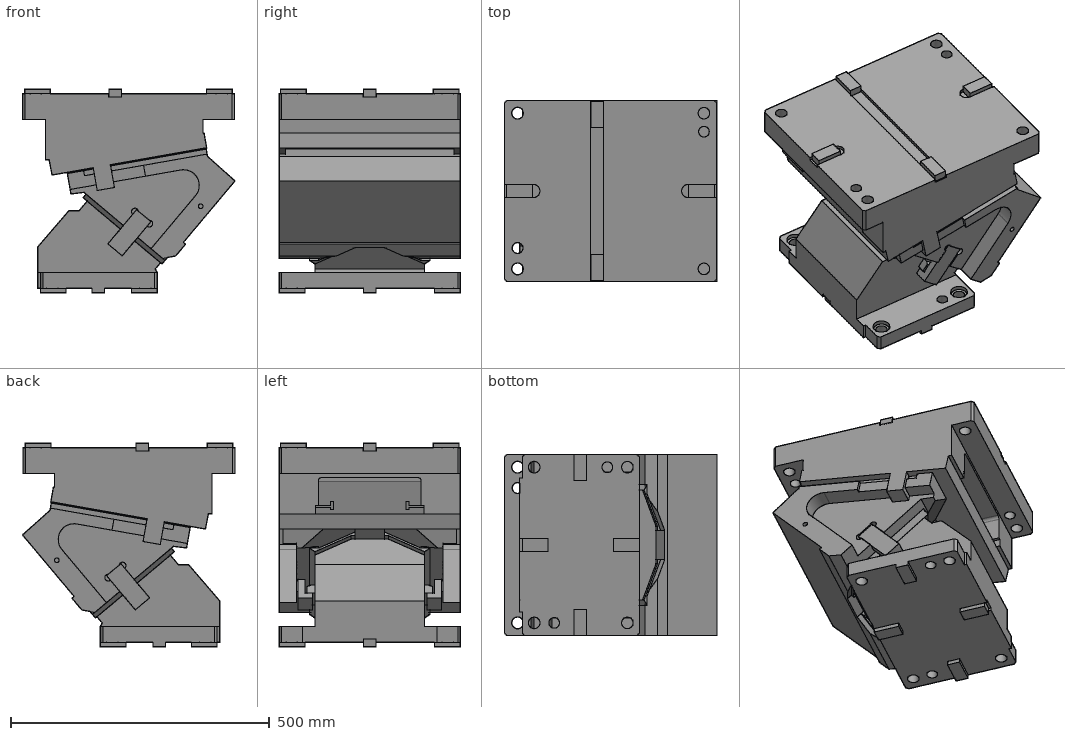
import cadquery as cq
import math


WIDTH = 350.0
HALF = WIDTH / 2
HEIGHT = 393.0
CORNER = 5.0
KEY_LENGTH = 50.0
KEY_WIDTH = 24.5
KEY_RISE = 8.5
SCREW_DIA = 22.0
DOWEL_DIA = 20.5
HOLE_Y = 150.5
FAR = 123.2

RAMP_ANGLE = 40
RAMP_X, RAMP_Z = -80.5, 177.0
DRIVE_ANGLE = 10
DRIVE_X, DRIVE_Z = -148.3, 227.0

RAMP_COS = math.cos(math.radians(RAMP_ANGLE))
RAMP_SIN = math.sin(math.radians(RAMP_ANGLE))
DRIVE_COS = math.cos(math.radians(DRIVE_ANGLE))
DRIVE_SIN = math.sin(math.radians(DRIVE_ANGLE))


def ramp_point(t, h):
    """(x, z) of a point given in the ramp frame."""
    return (RAMP_X + t * RAMP_COS + h * RAMP_SIN, RAMP_Z - t * RAMP_SIN + h * RAMP_COS)


def drive_point(a, m):
    """(x, z) of a point given in the drive frame."""
    return (DRIVE_X + a * DRIVE_COS - m * DRIVE_SIN, DRIVE_Z + a * DRIVE_SIN + m * DRIVE_COS)


def ramp_point_at_level(t, m):
    """Where the line across the ramp at t meets the level m of the drive frame."""
    x, z = ramp_point(t, 0)
    level_on_ramp = (z - DRIVE_Z) * DRIVE_COS - (x - DRIVE_X) * DRIVE_SIN
    h = (m - level_on_ramp) / math.sin(math.radians(90 - RAMP_ANGLE - DRIVE_ANGLE))
    return ramp_point(t, h)


def box(x_range, y_range, z_range):
    """Box between two limits on each axis."""
    spans = [high - low for low, high in (x_range, y_range, z_range)]
    return cq.Workplane().box(*spans, centered=False).translate((x_range[0], y_range[0], z_range[0]))


def side_profile(points, half_width):
    """Outline in the XZ plane, extruded to both sides of Y = 0."""
    return cq.Workplane("XZ").polyline(points).close().extrude(half_width, both=True)


def side_layer(points, y_inner, y_outer):
    """Outline in the XZ plane, extruded between two distances from Y = 0, on both sides."""
    near = cq.Workplane("XZ", origin=(0, -y_inner, 0)).polyline(points).close().extrude(y_outer - y_inner)
    return near.union(near.mirror("XZ"))


def ramp_section(points, t_start, t_end):
    """Outline in (y, h), extruded along the ramp."""
    x, z = ramp_point(t_start, 0)
    plane = cq.Plane(origin=(x, 0, z), xDir=(0, 1, 0), normal=(RAMP_COS, 0, -RAMP_SIN))
    return cq.Workplane(plane).polyline(points).close().extrude(t_end - t_start)


def ramp_section_pair(points, t_start, t_end):
    """Ramp section together with its mirror image across Y = 0."""
    one_side = ramp_section(points, t_start, t_end)
    return one_side.union(one_side.mirror("XZ"))


def frame_rectangle(to_point, along_range, rise_range):
    """Corners of a rectangle in the frame that `to_point` belongs to."""
    start, end = along_range
    low, high = rise_range
    return [to_point(start, low), to_point(end, low), to_point(end, high), to_point(start, high)]


def ramp_rectangle(t_range, h_range):
    return frame_rectangle(ramp_point, t_range, h_range)


def drive_rectangle(a_range, m_range):
    return frame_rectangle(drive_point, a_range, m_range)


def upright_hole(x, y, diameter, z_bottom, z_top):
    return cq.Workplane(origin=(x, y, z_bottom)).circle(diameter / 2).extrude(z_top - z_bottom)


PLATE_LEFT, PLATE_RIGHT = -205.5, 204.5
PLATE_TOP = HEIGHT - KEY_RISE
PLATE_BOTTOM = 334.5
BLOCK_LEFT, BLOCK_RIGHT = -161.0, 143.5
LEDGE_Z = 256.7
LEDGE_X = -154.0
DRIVE_LENGTH = 303.5
END_FACE_RISE = 28.8
TAB_A = (81.0, 114.5)
TAB_DROP = 44.5
CHEEK_Y = 141.5
SLOT_DEPTH = 6.0
SLOT_WIDTH = 25.5
CROSS_X = -26.3
POCKET_HALF, POCKET_FOOT_HALF = 99.5, 104.7
POCKET_TOP, POCKET_FOOT_TOP = 326.5, 273.0
POCKET_BREAK = 319.5
POCKET_BACK = -107.0
POCKET_RADIUS = 5.8
GROOVE_DEPTH = 4.0
LEVEL_GROOVE_Z = (268.5, POCKET_FOOT_TOP)
UPRIGHT_GROOVE_Y = (70.2, 75.5)
UPRIGHT_GROOVE_Z = (265.5, 281.0)
DRIVER_HOLE_X = 180.0
DRIVER_DOWEL_Y = (-110.0, 114.5)
LONG_KEY_X = (-201.3, 150.0)
LONG_SLOT_END = 136.8


def make_driver():
    plate = box((PLATE_LEFT, PLATE_RIGHT), (-HALF, HALF), (PLATE_BOTTOM, PLATE_TOP))
    plate = plate.edges("|Z").chamfer(CORNER)
    end_top = drive_point(DRIVE_LENGTH, END_FACE_RISE)
    block = side_profile(
        [
            (BLOCK_LEFT, PLATE_BOTTOM),
            (BLOCK_LEFT, LEDGE_Z),
            (LEDGE_X, LEDGE_Z),
            drive_point(0, 0),
            drive_point(DRIVE_LENGTH, 0),
            end_top,
            (BLOCK_RIGHT, end_top[1]),
            (BLOCK_RIGHT, PLATE_BOTTOM),
        ],
        HALF,
    )
    tabs = side_layer(drive_rectangle(TAB_A, (-TAB_DROP, SLOT_DEPTH)), CHEEK_Y, HALF)
    driver = plate.union(block).union(tabs)
    driver = driver.cut(end_pocket()).cut(key_slots()).union(driver_keys())
    for x in (-DRIVER_HOLE_X, DRIVER_HOLE_X):
        for y in (-HOLE_Y, HOLE_Y):
            driver = driver.cut(upright_hole(x, y, SCREW_DIA, PLATE_BOTTOM, HEIGHT))
    for x, y in zip((-DRIVER_HOLE_X, DRIVER_HOLE_X), DRIVER_DOWEL_Y):
        driver = driver.cut(upright_hole(x, y, DOWEL_DIA, PLATE_BOTTOM, HEIGHT))
    return driver


def pocket_back_x(z):
    """Position of the leaning back wall of the pocket at a given level."""
    return POCKET_BACK + (POCKET_BREAK - z) * DRIVE_SIN / DRIVE_COS


def end_pocket():
    """Pocket in the -X face whose back wall leans with the drive direction and whose foot is wider."""
    open_x = BLOCK_LEFT - FAR
    pocket = side_profile(
        [
            (open_x, LEDGE_Z),
            (pocket_back_x(LEDGE_Z), LEDGE_Z),
            (POCKET_BACK, POCKET_BREAK),
            (POCKET_BACK, POCKET_TOP),
            (open_x, POCKET_TOP),
        ],
        POCKET_HALF,
    )
    pocket = pocket.edges("|X and >Z").fillet(POCKET_RADIUS)
    foot = side_profile(
        [
            (open_x, LEDGE_Z),
            (pocket_back_x(LEDGE_Z), LEDGE_Z),
            (pocket_back_x(POCKET_FOOT_TOP), POCKET_FOOT_TOP),
            (open_x, POCKET_FOOT_TOP),
        ],
        POCKET_FOOT_HALF,
    )
    level_groove = back_groove(LEVEL_GROOVE_Z, (UPRIGHT_GROOVE_Y[1], POCKET_FOOT_HALF))
    upright_groove = back_groove(UPRIGHT_GROOVE_Z, UPRIGHT_GROOVE_Y)
    return pocket.union(foot).union(level_groove).union(upright_groove)


def back_groove(z_range, y_range):
    """Groove sunk into the leaning back wall of the pocket, on both sides of Y = 0."""
    low, high = z_range
    outline = [
        (POCKET_BACK, low),
        (pocket_back_x(low) + GROOVE_DEPTH, low),
        (pocket_back_x(high) + GROOVE_DEPTH, high),
        (POCKET_BACK, high),
    ]
    return side_layer(outline, *y_range)


def key_slots():
    """One slot across the whole plate and two lengthwise slots, each with one round end."""
    floor = PLATE_TOP - SLOT_DEPTH
    slots = box((CROSS_X - SLOT_WIDTH / 2, CROSS_X + SLOT_WIDTH / 2), (-HALF, HALF), (floor, HEIGHT))
    for side in (-1, 1):
        centre = side * (LONG_SLOT_END + SLOT_WIDTH / 2)
        outer = side * (LONG_SLOT_END + FAR)
        straight = box(sorted((centre, outer)), (-SLOT_WIDTH / 2, SLOT_WIDTH / 2), (floor, HEIGHT))
        slots = slots.union(straight).union(upright_hole(centre, 0, SLOT_WIDTH, floor, HEIGHT))
    return slots


def driver_keys():
    floor = PLATE_TOP - SLOT_DEPTH
    key_y = HALF - CORNER / 2
    across_x = (CROSS_X - KEY_WIDTH / 2, CROSS_X + KEY_WIDTH / 2)
    across = box(across_x, (key_y - KEY_LENGTH, key_y), (floor, HEIGHT))
    keys = across.union(across.mirror("XZ"))
    for x in LONG_KEY_X:
        keys = keys.union(box((x, x + KEY_LENGTH), (-KEY_WIDTH / 2, KEY_WIDTH / 2), (floor, HEIGHT)))
    return keys


BASE_LEFT = -176.0
FLANGE_LEFT, FLANGE_RIGHT = -171.0, 55.0
FLANGE_BOTTOM = KEY_RISE
FLANGE_TOP = 39.5
BASE_HALF = 106.0
BASE_FOOT_HALF = 130.0
BASE_TOP = 158.5
BASE_CREST_X = -116.0
BASE_SHOULDER = 88.7
RAMP_LENGTH = 185.3
RAMP_END_DROP = 15.5
ROOF_FLAT = 36.0
ROOF_SLOPE = math.tan(math.radians(30))
ROOF_RISE = (BASE_HALF - ROOF_FLAT) * ROOF_SLOPE
BASE_MID = (FLANGE_LEFT + FLANGE_RIGHT) / 2
BASE_CROSS_X = -59.0
BASE_HOLE_PITCH = 180.0
BASE_DOWEL_STEP = 38.5
CBORE_DIA = 32.0
CBORE_DEPTH = 8.2

KEEPER_T = (84.0, 120.0)
LUG_Y = 121.0
LUG_H = (-25.0, -5.5)
LUG_CHAMFER = 3.3


def make_base():
    flange = box((FLANGE_LEFT, FLANGE_RIGHT), (-HALF, HALF), (FLANGE_BOTTOM, FLANGE_TOP))
    flange = flange.edges("|Z").chamfer(CORNER)
    foot = box((BASE_LEFT, BASE_MID), (-BASE_FOOT_HALF, BASE_FOOT_HALF), (FLANGE_BOTTOM, FLANGE_TOP))
    body = side_profile(
        [
            (BASE_LEFT, FLANGE_BOTTOM),
            (BASE_LEFT, BASE_SHOULDER),
            (BASE_CREST_X, BASE_TOP),
            ramp_point(0, (BASE_TOP - RAMP_Z) / RAMP_COS),
            ramp_point(0, 0),
            ramp_point(RAMP_LENGTH, 0),
            ramp_point(RAMP_LENGTH, -RAMP_END_DROP),
            (FLANGE_RIGHT, FLANGE_TOP),
            (FLANGE_RIGHT, FLANGE_BOTTOM),
        ],
        BASE_HALF,
    )
    roof = ramp_section(
        [(-BASE_HALF, 0), (-ROOF_FLAT, ROOF_RISE), (ROOF_FLAT, ROOF_RISE), (BASE_HALF, 0)],
        0, RAMP_LENGTH,
    )
    lugs = ramp_section_pair(
        [
            (BASE_HALF, LUG_H[0]),
            (LUG_Y, LUG_H[0]),
            (LUG_Y, LUG_H[1] - LUG_CHAMFER),
            (LUG_Y - 2 * LUG_CHAMFER, LUG_H[1]),
            (BASE_HALF, LUG_H[1]),
        ],
        *KEEPER_T,
    )
    base = flange.union(foot).union(body).union(roof).union(lugs).union(base_keys())
    return base.cut(base_holes()).cut(foot_slot())


def base_keys():
    across_x = (BASE_CROSS_X - KEY_WIDTH / 2, BASE_CROSS_X + KEY_WIDTH / 2)
    across = box(across_x, (HALF - KEY_LENGTH, HALF), (0, FLANGE_BOTTOM))
    keys = across.union(across.mirror("XZ"))
    for x in (FLANGE_LEFT, FLANGE_RIGHT - KEY_LENGTH):
        keys = keys.union(box((x, x + KEY_LENGTH), (-KEY_WIDTH / 2, KEY_WIDTH / 2), (0, FLANGE_BOTTOM)))
    return keys


def foot_slot():
    """Open end of the key slot, between the -X face of the foot and the key."""
    return box(
        (BASE_LEFT, FLANGE_LEFT), (-KEY_WIDTH / 2, KEY_WIDTH / 2), (FLANGE_BOTTOM, FLANGE_BOTTOM + SLOT_DEPTH)
    )


def base_holes():
    """Counterbored screw holes at the corners and two dowel holes on a diagonal."""
    holes = cq.Workplane()
    for side in (-1, 1):
        x = BASE_MID + side * BASE_HOLE_PITCH / 2
        for y in (-HOLE_Y, HOLE_Y):
            holes = holes.add(upright_hole(x, y, SCREW_DIA, 0, FLANGE_TOP))
            holes = holes.add(upright_hole(x, y, CBORE_DIA, FLANGE_TOP - CBORE_DEPTH, FLANGE_TOP))
        dowel_x = x - side * BASE_DOWEL_STEP
        holes = holes.add(upright_hole(dowel_x, -side * HOLE_Y, DOWEL_DIA, 0, FLANGE_TOP))
    return holes.combine()


GAP = 1.5
SLIDER_A = (29.5, 302.5)
SLIDER_NOSE = -42.5
SLIDER_BACK_T = 194.0
SLIDER_TIP_H = 213.5
SLIDER_SHOULDER = -16.5
HEEL_T = 199.2
HEEL_H = (28.8, 58.7)
UNDERSIDE_H = 9.0
UNDERSIDE_T = (-15.0, 183.2)
WEAR_THICKNESS = 5.0
WEAR_T = (-10.3, 189.0)
WEAR_INNER = 28.5
LIP_OUTER = 116.5
SLAB_Y = 167.5
SLAB_BOTTOM = -33.3
BAND_Y = 162.3
BAND_BOTTOM = -12.0
BAND_START = 61.5
CHEEK_A = 177.5
CHEEK_T = 153.5
CHEEK_RADIUS = 30.5
KEEPER_Y = (125.0, 139.0)
KEEPER_FOOT_Y = 111.0
KEEPER_H = (-37.5, 49.0)
RELIEF_RADIUS = 6.5
RELIEF_DROP = 5.0
PIN_HOLE_X, PIN_HOLE_Z = 139.0, 167.0
PIN_HOLE_DIA = 9.0
PIN_HOLE_DEPTH = 12.5


def slider_outline(top):
    """Side outline of the slider up to a level of the drive frame."""
    return [
        drive_point(SLIDER_A[0], top),
        drive_point(SLIDER_A[0], SLIDER_NOSE),
        ramp_point(UNDERSIDE_T[0], UNDERSIDE_H),
        ramp_point(UNDERSIDE_T[1], UNDERSIDE_H),
        ramp_point(HEEL_T, HEEL_H[0]),
        ramp_point(HEEL_T, HEEL_H[1]),
        ramp_point(SLIDER_BACK_T, HEEL_H[1]),
        ramp_point(SLIDER_BACK_T, SLIDER_TIP_H),
        drive_point(SLIDER_A[1], SLIDER_SHOULDER),
        drive_point(SLIDER_A[1], top),
    ]


def make_slider():
    core = side_profile(slider_outline(-GAP), CHEEK_Y)
    slider = core.union(drive_slab()).cut(tunnel())
    slider = slider.union(wear_plates()).union(cheeks())
    slider = slider.cut(keeper_pockets()).union(keepers())
    pin_hole = cq.Workplane("XZ", origin=(PIN_HOLE_X, -HALF + PIN_HOLE_DEPTH, PIN_HOLE_Z))
    pin_hole = pin_hole.circle(PIN_HOLE_DIA / 2).extrude(PIN_HOLE_DEPTH)
    return slider.cut(pin_hole).cut(pin_hole.mirror("XZ"))


def tunnel():
    """Roof-shaped channel through the underside, clear of the base roof by the wear plates."""
    eave_h = -FAR
    eave_y = BASE_HALF + (WEAR_THICKNESS - eave_h) / ROOF_SLOPE
    ridge_h = WEAR_THICKNESS + (BASE_HALF - WEAR_INNER) * ROOF_SLOPE
    section = [(-eave_y, eave_h), (-WEAR_INNER, ridge_h), (WEAR_INNER, ridge_h), (eave_y, eave_h)]
    return ramp_section(section, -FAR, RAMP_LENGTH + FAR)


def wear_plates():
    """Plates lying on the base roof, each with a bevelled lip outside the eave."""
    section = [
        (BASE_HALF, 0),
        (LIP_OUTER, UNDERSIDE_H),
        (BASE_HALF + (WEAR_THICKNESS - UNDERSIDE_H) / ROOF_SLOPE, UNDERSIDE_H),
        (WEAR_INNER, WEAR_THICKNESS + (BASE_HALF - WEAR_INNER) * ROOF_SLOPE),
        (WEAR_INNER, ROOF_RISE),
        (ROOF_FLAT, ROOF_RISE),
    ]
    return ramp_section_pair(section, *WEAR_T)


def drive_slab():
    """Wide slab under the driver, grooved along its top edges and notched for the driver tabs."""
    slab = side_profile(drive_rectangle((SLIDER_A[0], CHEEK_A), (SLAB_BOTTOM, -GAP)), SLAB_Y)
    band = side_profile(drive_rectangle((CHEEK_A, SLIDER_A[1]), (BAND_BOTTOM, -GAP)), BAND_Y)
    groove = side_layer(drive_rectangle((BAND_START, CHEEK_A), (BAND_BOTTOM, 0)), BAND_Y, HALF)
    notch = side_layer(drive_rectangle(TAB_A, (SLAB_BOTTOM, 0)), CHEEK_Y, HALF)
    return slab.union(band).cut(groove).cut(notch)


def cheeks():
    """Full-width strips along the top and the +X side, round where they meet."""
    recess_corner = ramp_point_at_level(CHEEK_T, SLAB_BOTTOM)
    recess = side_layer(
        [
            drive_point(CHEEK_A, FAR),
            drive_point(CHEEK_A, SLAB_BOTTOM),
            recess_corner,
            ramp_point(CHEEK_T, -FAR),
            ramp_point(-FAR, -FAR),
            ramp_point(-FAR, FAR),
        ],
        CHEEK_Y, HALF,
    )
    x, z = recess_corner
    reach = CHEEK_RADIUS / 2
    at_corner = cq.selectors.BoxSelector((x - reach, -HALF, z - reach), (x + reach, HALF, z + reach))
    recess = recess.edges("|Y").edges(at_corner).fillet(CHEEK_RADIUS)
    return side_layer(slider_outline(BAND_BOTTOM), CHEEK_Y, HALF).cut(recess)


def keeper_pockets():
    """Shallow pockets around the keepers, with round reliefs in the upper corners."""
    pockets = side_layer(ramp_rectangle(KEEPER_T, (-FAR, KEEPER_H[1])), KEEPER_Y[0], CHEEK_Y)
    for t in KEEPER_T:
        x, z = ramp_point(t, KEEPER_H[1] - RELIEF_DROP)
        relief = cq.Workplane("XZ", origin=(x, -KEEPER_Y[0], z)).circle(RELIEF_RADIUS)
        relief = relief.extrude(CHEEK_Y - KEEPER_Y[0])
        pockets = pockets.union(relief).union(relief.mirror("XZ"))
    return pockets


def keepers():
    """Hooks that reach down from the slider and under the lugs of the base."""
    legs = side_layer(ramp_rectangle(KEEPER_T, KEEPER_H), *KEEPER_Y)
    feet = side_layer(ramp_rectangle(KEEPER_T, (KEEPER_H[0], LUG_H[0])), KEEPER_FOOT_Y, KEEPER_Y[1])
    return legs.union(feet)


driver = make_driver()
slider = make_slider()
base = make_base()
result = cq.Compound.makeCompound([body.solids().val() for body in (driver, slider, base)])